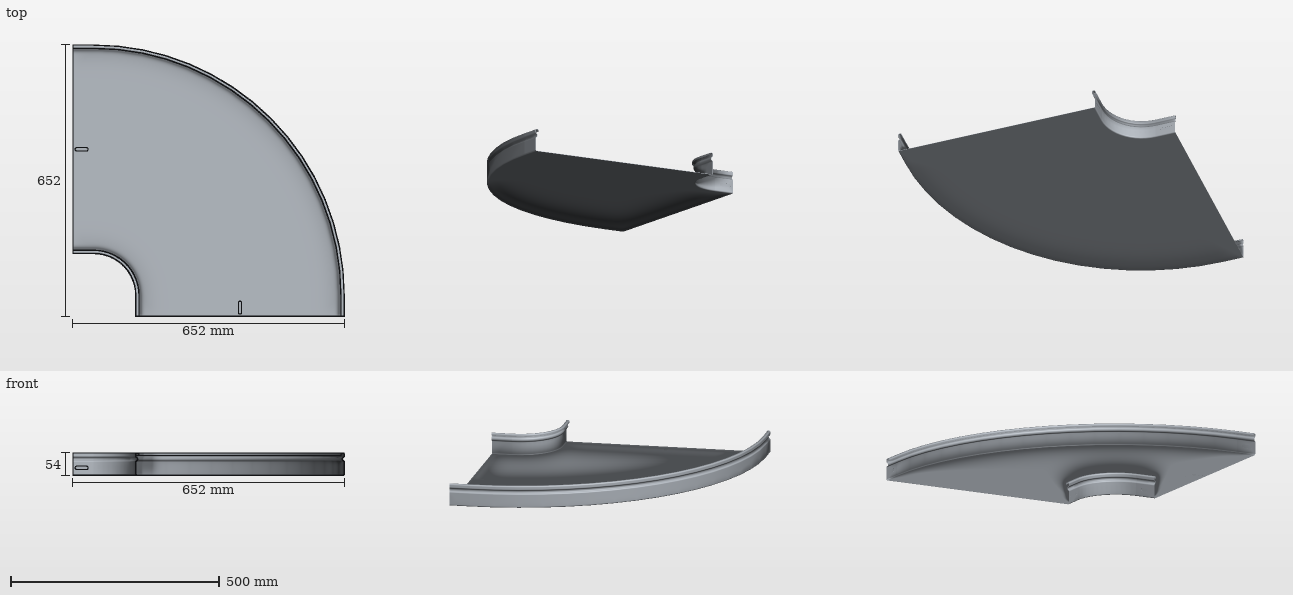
import cadquery as cq
import math


size = 652.0
inner_face = 150.5
leg = 50.0
tray_middle = (inner_face + size) / 2

height = 54.0
sheet = 1.0
bend_radius = 3.0
groove_radius = 4.7
groove_z = 39.0
groove_tilt = 62
hem_width = 8.5
hem_tip_z = 48.0
touching = 0.005

slot_width = 8.0
slot_start = 5.0
slot_length = 31.0
slot_middle = slot_start + slot_length / 2
wall_slot_z = 18.0
slot_depth = sheet / 2


def wall_arcs(depth):
    """Arcs of one wall surface from floor to hem, `depth` into the sheet.

    Each arc is (start, middle, end) with points (distance inward from the wall's outer face, z).
    """
    convex = bend_radius - depth
    concave = groove_radius + depth
    tilt = math.radians(groove_tilt)
    centre_gap = bend_radius + groove_radius
    groove_rise = centre_gap * math.sin(tilt)
    groove_centre = bend_radius - centre_gap * math.cos(tilt)
    top_centre_z = height - bend_radius
    arcs = [
        (bend_radius, bend_radius, convex, 270, 180),
        (bend_radius, groove_z - groove_rise, convex, 180, 180 - groove_tilt),
        (groove_centre, groove_z, concave, -groove_tilt, groove_tilt),
        (bend_radius, groove_z + groove_rise, convex, 180 + groove_tilt, 180),
        (bend_radius, top_centre_z, convex, 180, 90),
        (hem_width - bend_radius, top_centre_z, convex, 90, 0),
    ]

    def arc_points(u, z, radius, start, end):
        angles = [math.radians(a) for a in (start, (start + end) / 2, end)]
        return [(u + radius * math.cos(a), z + radius * math.sin(a)) for a in angles]

    return [arc_points(*arc) for arc in arcs]


def reverse_arcs(arcs):
    return [arc[::-1] for arc in reversed(arcs)]


def on_inner_wall(arcs):
    return [[(inner_face + u, z) for u, z in arc] for arc in arcs]


def on_outer_wall(arcs):
    return [[(size - u, z) for u, z in arc] for arc in arcs]


def channel_section(plane, origin):
    """Closed channel outline, drawn with the distance across the tray to the right and Z up."""
    outside = wall_arcs(0)
    inside = wall_arcs(sheet)
    outside_arcs = reverse_arcs(on_inner_wall(outside)) + on_outer_wall(outside)
    inside_arcs = reverse_arcs(on_outer_wall(inside)) + on_inner_wall(inside)
    inside_tip = hem_width - sheet

    pen = (inner_face + hem_width, hem_tip_z)
    outline = cq.Workplane(plane, origin=origin).moveTo(*pen)

    def follow(outline, pen, arcs):
        for start, middle, end in arcs:
            if math.dist(pen, start) > touching:
                outline = outline.lineTo(*start)
            outline = outline.threePointArc(middle, end)
            pen = end
        return outline

    outline = follow(outline, pen, outside_arcs)
    outline = outline.lineTo(size - hem_width, hem_tip_z)
    pen = (size - inside_tip, hem_tip_z)
    outline = outline.lineTo(*pen)
    outline = follow(outline, pen, inside_arcs)
    outline = outline.lineTo(inner_face + inside_tip, hem_tip_z)
    return outline.close()


def tray_body():
    leg_along_x = channel_section("YZ", (0, 0, 0)).extrude(leg)
    bend = channel_section("YZ", (leg, 0, 0)).revolve(90, (leg, 6.5), (leg, 0))
    leg_along_y = channel_section("XZ", (0, leg, 0)).extrude(leg)
    return leg_along_x.union(bend).union(leg_along_y)


def slot_recesses():
    """Cutters for the shallow slots: one in the floor and one in each wall at both end faces.

    Every slot lies in the surface that faces the bend corner or upward.
    """
    floor_plane = cq.Workplane("XY", origin=(0, 0, sheet))
    recesses = (
        floor_plane.center(slot_middle, tray_middle)
        .slot2D(slot_length, slot_width)
        .extrude(-slot_depth)
    )
    recesses = recesses.union(
        floor_plane.center(tray_middle, slot_middle)
        .slot2D(slot_length, slot_width, 90)
        .extrude(-slot_depth)
    )
    for face in (inner_face, size - sheet):
        along_x = cq.Workplane("XZ", origin=(slot_middle, face, wall_slot_z))
        along_y = cq.Workplane("YZ", origin=(face, slot_middle, wall_slot_z))
        recesses = recesses.union(along_x.slot2D(slot_length, slot_width).extrude(-slot_depth))
        recesses = recesses.union(along_y.slot2D(slot_length, slot_width).extrude(slot_depth))
    return recesses


result = tray_body().cut(slot_recesses())